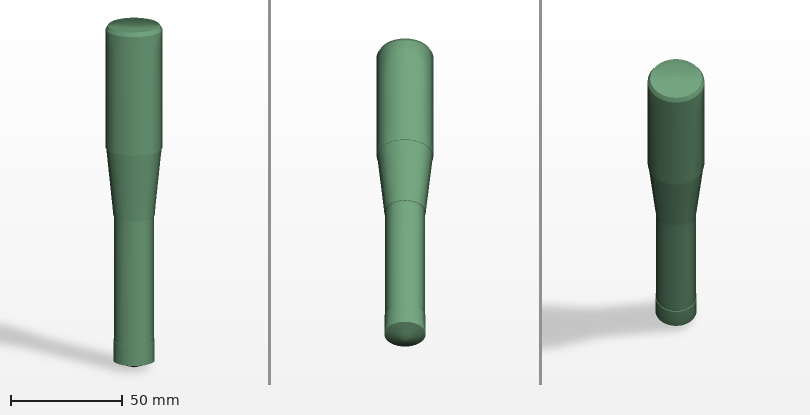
import cadquery as cq
import math

TOTAL_LENGTH = 159.7

TIP_RADIUS = 9.3
TIP_TOP = 13.0
POINT_ANGLE = 140.0
POINT_HEIGHT = TIP_RADIUS / math.tan(math.radians(POINT_ANGLE / 2))

NECK_RADIUS = 9.0
TAPER_BOTTOM = 71.2
TAPER_TOP = 102.5
TAPER_BOTTOM_RADIUS = 9.3
TAPER_TOP_RADIUS = 12.5
SHANK_RADIUS = 25.4 / 2
CHAMFER_HEIGHT = 1.9
CHAMFER_WIDTH = 1.1


def revolve_profile(points):
    """Revolve a closed (radius, z) outline a full turn about the Z axis."""
    profile = cq.Workplane("XZ").polyline(points).close()
    return profile.revolve(360, (0, 0, 0), (0, 1, 0))


def make_tip():
    """Cutting tip with its apex at z = 0 and a flat top seat."""
    return revolve_profile([
        (0, 0),
        (TIP_RADIUS, POINT_HEIGHT),
        (TIP_RADIUS, TIP_TOP),
        (0, TIP_TOP),
    ])


def make_holder():
    """Neck, taper and shank, standing on the flat top of the tip."""
    return revolve_profile([
        (0, TIP_TOP),
        (NECK_RADIUS, TIP_TOP),
        (NECK_RADIUS, TAPER_BOTTOM),
        (TAPER_BOTTOM_RADIUS, TAPER_BOTTOM),
        (TAPER_TOP_RADIUS, TAPER_TOP),
        (SHANK_RADIUS, TAPER_TOP),
        (SHANK_RADIUS, TOTAL_LENGTH - CHAMFER_HEIGHT),
        (SHANK_RADIUS - CHAMFER_WIDTH, TOTAL_LENGTH),
        (0, TOTAL_LENGTH),
    ])


tip = make_tip()
holder = make_holder()

result = cq.Compound.makeCompound([tip.val(), holder.val()])